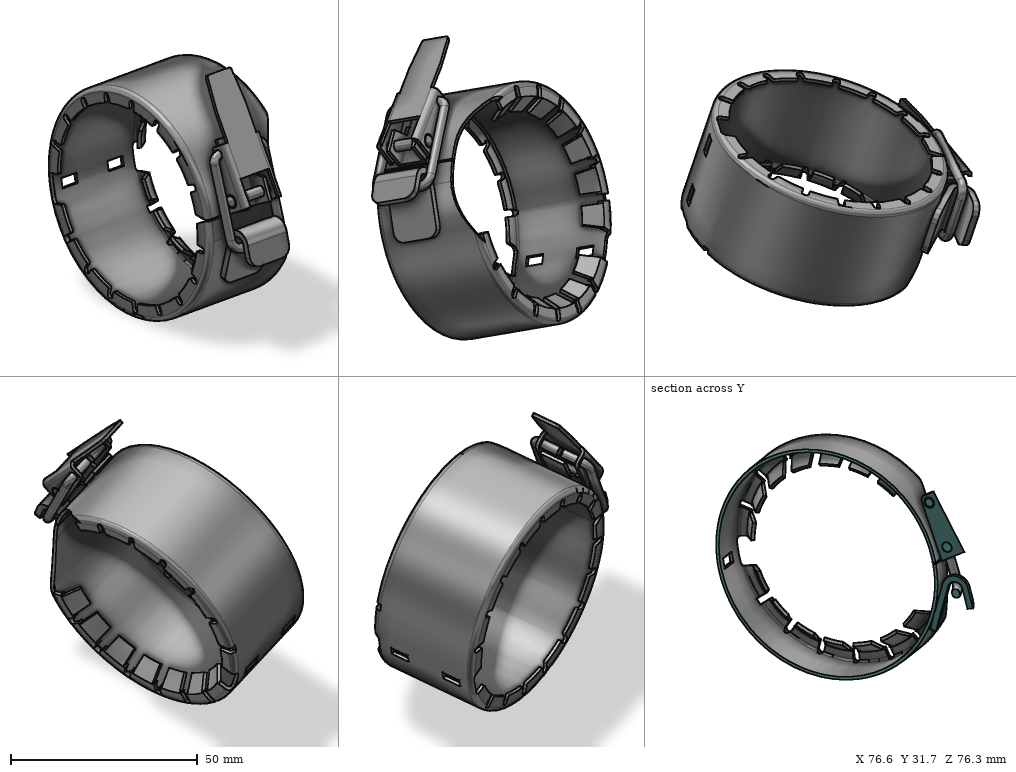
import cadquery as cq
import math

RING_R = 32.95
RING_WIDTH = 31.65
RING_SHEET = 1.0
RING_BEND = 1.5
JOINT_ANGLE = 10.8
FRONT_FLANGE_R = 28.3
LIP_ROOT_R = 28.7
LIP_TIP_R = 25.2
LIP_TILT = 53.0
HALF_WIDTH = RING_WIDTH / 2

NOTCHES_PER_SIDE = 8
FIRST_NOTCH = 17.0
UPPER_PITCH = 19.7
LOWER_PITCH = 19.5
NOTCH_WIDTH = 1.9
LIP_GAP = 3.15
TAB_CORNER = 0.45
FRONT_NOTCH_R = 31.0
REAR_NOTCH_R = 32.1
REAR_CUT_DEPTH = 1.85
JOINT_GAP = 0.45
JOINT_FLARE = 16.5
TOOL_MARGIN = 0.8
CUT_START_R = LIP_TIP_R - 3 * TOOL_MARGIN

HINGE_GAP = 8.8
HINGE_FRONT_R = 31.7
HINGE_CORNER = 1.5
SLOT_LENGTH = 5.4
SLOT_HEIGHT = 2.9
SLOT_PLACES = (7.6, -8.9)

RELIEF_DEPTH = 6.9
RELIEF_FLOOR_HALF = 12.0
RELIEF_TOP_HALF = 21.2
RELIEF_ROUND = 19.9
RELIEF_SECTOR = 36.7

LATCH_Y = -3.3
SHEET = 1.0

LEVER_TOP = (32.2, 27.1)
LEVER_LEAN = 30.0
LEVER_WIDTH = 13.6
LEVER_BEND = 1.8
CHANNEL_LENGTH = 18.4
CHEEK_TOP_DEPTH = 5.3
CHEEK_END_DEPTH = 8.4
CHEEK_ROUND = 1.7
BACK_LENGTH = 10.35
BLADE_LENGTH = 18.8
BLADE_STRAIGHT = 8.7
BLADE_TIP_WIDTH = 8.35
BLADE_CORNER = 0.8

BASE_ANGLE = 21.6
BASE_TOP = 13.95
BASE_BOTTOM = 6.2
TONGUE_WIDTH = 7.4
EAR_SPAN = 9.1
BASE_BEND = 1.2
SHOULDER = 1.4
BEND_TOP = 5.75
EAR_TOP = 3.0
EAR_HEIGHT = 6.8
EAR_CREST_TOP = 1.15
EAR_END = 5.7

RIVET_CENTER = (35.6, 11.4)
RIVET_D = 3.0
RIVET_HEAD_D = 3.75
RIVET_HEAD_HEIGHT = 0.85

WIRE_D = 2.5
WIRE_HOLE_D = 2.8
WIRE_TOP = (30.3, 23.4)
WIRE_LEAN = 17.7
WIRE_LENGTH = 26.3
WIRE_SPREAD = 17.4
WIRE_TOP_BEND = 2.15
WIRE_LOW_BEND = 3.15
WIRE_END_GAP = 1.3

HOOK_ANGLE = -15.0
HOOK_Y = -2.9
HOOK_WIDTH = 13.95
HOOK_OUTER_R = 4.0
HOOK_SHEET = 1.85
HOOK_RISE = 9.4
HOOK_LONG_LEG = 15.1
HOOK_SHORT_LEG = 6.6
HOOK_CORNER = 3.1


def polar(radius, degrees):
    return (radius * math.cos(math.radians(degrees)), radius * math.sin(math.radians(degrees)))


def tilted_plane(x, y, z, degrees):
    """Plane with normal -Y whose local x points at the given angle in XZ."""
    dx, dz = polar(1, degrees)
    return cq.Plane(origin=(x, y, z), xDir=(dx, 0, dz), normal=(0, -1, 0))


def radial_box(degrees, r_in, r_out, width, y_low, y_high):
    """Box lying along a radius of the ring."""
    box = cq.Workplane("XY").box(r_out - r_in, y_high - y_low, width)
    return box.translate(((r_in + r_out) / 2, (y_low + y_high) / 2, 0)).rotate((0, 0, 0), (0, 1, 0), -degrees)


def radial_notch(degrees, r_in, r_out, width, y_low, y_high):
    """Notch along a radius with a round outer end."""
    r_round = r_out - width / 2
    return (
        cq.Workplane(tilted_plane(0, y_high, 0, degrees))
        .moveTo(r_in, -width / 2)
        .lineTo(r_round, -width / 2)
        .threePointArc((r_out, 0), (r_round, width / 2))
        .lineTo(r_in, width / 2)
        .close()
        .extrude(y_high - y_low)
    )


def ring_blank():
    inner_bend = RING_BEND - RING_SHEET
    bend_r = RING_R - RING_BEND
    bend_y = HALF_WIDTH - RING_BEND
    inner_y = HALF_WIDTH - RING_SHEET
    wall_r = RING_R - RING_SHEET
    diagonal = math.sqrt(0.5)
    slope = math.radians(LIP_TILT)
    tip_y = HALF_WIDTH - (LIP_ROOT_R - LIP_TIP_R) * math.tan(slope)
    end_r = LIP_TIP_R + RING_SHEET * math.sin(slope)
    end_y = tip_y - RING_SHEET * math.cos(slope)
    root_inner_r = end_r + (inner_y - end_y) / math.tan(slope)
    profile = (
        cq.Workplane("XY")
        .moveTo(FRONT_FLANGE_R, -HALF_WIDTH)
        .lineTo(bend_r, -HALF_WIDTH)
        .threePointArc((bend_r + RING_BEND * diagonal, -bend_y - RING_BEND * diagonal), (RING_R, -bend_y))
        .lineTo(RING_R, bend_y)
        .threePointArc((bend_r + RING_BEND * diagonal, bend_y + RING_BEND * diagonal), (bend_r, HALF_WIDTH))
        .lineTo(LIP_ROOT_R, HALF_WIDTH)
        .lineTo(LIP_TIP_R, tip_y)
        .lineTo(end_r, end_y)
        .lineTo(root_inner_r, inner_y)
        .lineTo(bend_r, inner_y)
        .threePointArc((bend_r + inner_bend * diagonal, bend_y + inner_bend * diagonal), (wall_r, bend_y))
        .lineTo(wall_r, -bend_y)
        .threePointArc((bend_r + inner_bend * diagonal, -bend_y - inner_bend * diagonal), (bend_r, -inner_y))
        .lineTo(FRONT_FLANGE_R, -inner_y)
        .close()
    )
    return profile.revolve(360, (0, 0, 0), (0, 1, 0))


def cut_notches(ring):
    rear_y = HALF_WIDTH - REAR_CUT_DEPTH
    for side, pitch in ((1, UPPER_PITCH), (-1, LOWER_PITCH)):
        for index in range(NOTCHES_PER_SIDE):
            angle = JOINT_ANGLE + side * (FIRST_NOTCH + index * pitch)
            beside_hinge = index == NOTCHES_PER_SIDE - 1
            front_r = REAR_NOTCH_R if beside_hinge else FRONT_NOTCH_R
            rear_r = RING_R + NOTCH_WIDTH / 2 if beside_hinge else REAR_NOTCH_R
            ring = ring.cut(radial_notch(angle, CUT_START_R, front_r, NOTCH_WIDTH, -HALF_WIDTH, -rear_y))
            ring = ring.cut(radial_notch(angle, CUT_START_R, rear_r, NOTCH_WIDTH, rear_y, HALF_WIDTH))
            ring = ring.cut(radial_box(angle, CUT_START_R, LIP_ROOT_R, LIP_GAP, 0, HALF_WIDTH))
    return ring


def cut_hinge(ring):
    angle = JOINT_ANGLE + 180
    rear_y = HALF_WIDTH - REAR_CUT_DEPTH
    outside_r = RING_R + TOOL_MARGIN
    front = radial_box(0, CUT_START_R, HINGE_FRONT_R, HINGE_GAP, -HALF_WIDTH, -rear_y)
    front = front.edges("|Y and >X").fillet(HINGE_CORNER).rotate((0, 0, 0), (0, 1, 0), -angle)
    rear = radial_box(0, CUT_START_R, outside_r, HINGE_GAP, rear_y, HALF_WIDTH + TOOL_MARGIN)
    rear = rear.edges("|X and <Y").fillet(HINGE_CORNER).rotate((0, 0, 0), (0, 1, 0), -angle)
    lips = radial_box(angle, CUT_START_R, LIP_ROOT_R, HINGE_GAP, 0, HALF_WIDTH)
    ring = ring.cut(front).cut(rear).cut(lips)
    slot_start_r = RING_R - RING_SHEET - TOOL_MARGIN
    for place in SLOT_PLACES:
        slot_low = place - SLOT_LENGTH / 2
        slot_high = place + SLOT_LENGTH / 2
        ring = ring.cut(radial_box(angle, slot_start_r, outside_r, SLOT_HEIGHT, slot_low, slot_high))
    return ring


def cut_joint(ring):
    outside_r = RING_R + TOOL_MARGIN
    outside_y = HALF_WIDTH + TOOL_MARGIN
    apex_r = RING_R - RING_SHEET
    half_mouth = JOINT_GAP / 2 + (apex_r - CUT_START_R) * math.tan(math.radians(JOINT_FLARE))
    flare = (
        cq.Workplane(tilted_plane(0, HALF_WIDTH, 0, JOINT_ANGLE))
        .moveTo(CUT_START_R, -half_mouth)
        .lineTo(apex_r, -JOINT_GAP / 2)
        .lineTo(outside_r, -JOINT_GAP / 2)
        .lineTo(outside_r, JOINT_GAP / 2)
        .lineTo(apex_r, JOINT_GAP / 2)
        .lineTo(CUT_START_R, half_mouth)
        .close()
        .extrude(RING_WIDTH)
    )
    relief = (
        cq.Workplane("YZ")
        .moveTo(outside_y, -RELIEF_TOP_HALF)
        .lineTo(HALF_WIDTH, -RELIEF_TOP_HALF)
        .lineTo(HALF_WIDTH - RELIEF_DEPTH, -RELIEF_FLOOR_HALF)
        .lineTo(HALF_WIDTH - RELIEF_DEPTH, RELIEF_FLOOR_HALF)
        .lineTo(HALF_WIDTH, RELIEF_TOP_HALF)
        .lineTo(outside_y, RELIEF_TOP_HALF)
        .close()
        .extrude(outside_r)
        .edges("|X and <Y")
        .fillet(RELIEF_ROUND)
        .rotate((0, 0, 0), (0, 1, 0), -JOINT_ANGLE)
    )
    flange_r = RING_R - RING_BEND
    wall_relief = relief.cut(cq.Workplane("XZ").circle(flange_r).extrude(RING_WIDTH, both=True))
    sector = (
        cq.Workplane("XY")
        .moveTo(CUT_START_R, 0)
        .rect(flange_r - CUT_START_R, outside_y, centered=False)
        .revolve(2 * RELIEF_SECTOR, (0, 0, 0), (0, 1, 0))
        .rotate((0, 0, 0), (0, 1, 0), -(JOINT_ANGLE + RELIEF_SECTOR))
    )
    return ring.cut(flare).cut(wall_relief).cut(sector)


def make_ring():
    ring = cut_joint(cut_hinge(cut_notches(ring_blank())))

    def is_front_tab_corner(edge):
        center = edge.Center()
        near_inner_edge = math.hypot(center.x, center.z) < FRONT_FLANGE_R + TAB_CORNER
        return near_inner_edge and center.y < RING_SHEET - HALF_WIDTH

    return ring.edges("|Y").filter(is_front_tab_corner).edges().fillet(TAB_CORNER)


def cross_cylinder(center, diameter, length):
    """Cylinder along Y, centred on the latch."""
    plane = tilted_plane(center[0], LATCH_Y, center[1], 0)
    return cq.Workplane(plane).circle(diameter / 2).extrude(length / 2, both=True)


def make_rivet():
    head_y = LEVER_WIDTH / 2
    top_y = head_y + RIVET_HEAD_HEIGHT
    head_r = RIVET_HEAD_D / 2
    sphere_r = (head_r**2 + RIVET_HEAD_HEIGHT**2) / (2 * RIVET_HEAD_HEIGHT)
    middle = polar(sphere_r, 90 - math.degrees(math.asin(head_r / sphere_r)) / 2)
    middle_y = top_y - sphere_r + middle[1]
    profile = (
        cq.Workplane("XY")
        .moveTo(0, -top_y)
        .threePointArc((middle[0], -middle_y), (head_r, -head_y))
        .lineTo(RIVET_D / 2, -head_y)
        .lineTo(RIVET_D / 2, head_y)
        .lineTo(head_r, head_y)
        .threePointArc((middle[0], middle_y), (0, top_y))
        .close()
    )
    rivet = profile.revolve(360, (0, 0, 0), (0, 1, 0))
    return rivet.translate((RIVET_CENTER[0], LATCH_Y, RIVET_CENTER[1]))


def make_lever():
    """Built with x down the lever, y from its outer face inwards and z across it."""
    lean = math.radians(LEVER_LEAN)
    frame = cq.Plane(
        origin=(LEVER_TOP[0], LATCH_Y, LEVER_TOP[1]),
        xDir=(math.sin(lean), 0, -math.cos(lean)),
        normal=(0, 1, 0),
    )
    back_half = LEVER_WIDTH / 2 - LEVER_BEND
    channel = (
        cq.Workplane("XY")
        .polyline([(0, 0), (CHANNEL_LENGTH, 0), (CHANNEL_LENGTH, CHEEK_END_DEPTH), (0, CHEEK_TOP_DEPTH)])
        .close()
        .extrude(LEVER_WIDTH / 2, both=True)
        .edges("|X and <Y")
        .fillet(LEVER_BEND)
    )
    inside = (
        cq.Workplane("XY")
        .box(CHANNEL_LENGTH, CHEEK_END_DEPTH, LEVER_WIDTH - 2 * SHEET, centered=(False, False, True))
        .translate((0, SHEET, 0))
        .edges("|X and <Y")
        .fillet(LEVER_BEND - SHEET)
    )
    open_back = (
        cq.Workplane("XY")
        .box(CHANNEL_LENGTH - BACK_LENGTH, SHEET, 2 * back_half, centered=(False, False, True))
        .translate((BACK_LENGTH, 0, 0))
    )
    channel = channel.cut(inside).cut(open_back)
    cheek_corners = cq.selectors.BoxSelector(
        (-0.8, CHEEK_TOP_DEPTH - 0.8, -LEVER_WIDTH), (0.8, CHEEK_TOP_DEPTH + 0.1, LEVER_WIDTH)
    )
    channel = channel.edges(cheek_corners).edges("|Z").fillet(CHEEK_ROUND)
    blade = (
        cq.Workplane("XZ")
        .polyline([
            (0, -back_half), (-BLADE_STRAIGHT, -back_half), (-BLADE_LENGTH, -BLADE_TIP_WIDTH / 2),
            (-BLADE_LENGTH, BLADE_TIP_WIDTH / 2), (-BLADE_STRAIGHT, back_half), (0, back_half),
        ])
        .close()
        .extrude(-SHEET)
        .edges("|Y and <X")
        .fillet(BLADE_CORNER)
    )
    lever = cq.Workplane(channel.union(blade).val().moved(cq.Location(frame)))
    lever = lever.cut(cross_cylinder(WIRE_TOP, WIRE_HOLE_D, LEVER_WIDTH))
    return lever.cut(cross_cylinder(RIVET_CENTER, RIVET_D, LEVER_WIDTH))


def make_base():
    """Built with x up the plate, y outwards from the ring and z across it."""
    tangent = math.radians(BASE_ANGLE)
    origin_x, origin_z = polar(RING_R, BASE_ANGLE)
    frame = cq.Plane(
        origin=(origin_x, LATCH_Y, origin_z),
        xDir=(-math.sin(tangent), 0, math.cos(tangent)),
        normal=(0, 1, 0),
    )
    channel = (
        cq.Workplane("XY")
        .polyline([
            (-BASE_BOTTOM, 0), (BEND_TOP, 0), (BEND_TOP, SHOULDER), (EAR_TOP, SHOULDER),
            (EAR_CREST_TOP, EAR_HEIGHT), (-EAR_END, EAR_HEIGHT), (-BASE_BOTTOM, SHOULDER),
        ])
        .close()
        .extrude(EAR_SPAN / 2, both=True)
        .edges("|X and <Y")
        .fillet(BASE_BEND)
    )
    inside = (
        cq.Workplane("XY")
        .box(BEND_TOP + BASE_BOTTOM, EAR_HEIGHT, EAR_SPAN - 2 * SHEET, centered=(False, False, True))
        .translate((-BASE_BOTTOM, SHEET, 0))
        .edges("|X and <Y")
        .fillet(BASE_BEND - SHEET)
    )
    tongue = (
        cq.Workplane("XY")
        .box(BASE_TOP - BEND_TOP, SHEET, TONGUE_WIDTH, centered=(False, False, True))
        .translate((BEND_TOP, 0, 0))
    )
    base = cq.Workplane(channel.cut(inside).union(tongue).val().moved(cq.Location(frame)))
    return base.cut(cross_cylinder(RIVET_CENTER, RIVET_D, LEVER_WIDTH))


def make_wire():
    """Bent wire whose two ends face each other in the upper bar."""
    lean = math.radians(WIRE_LEAN)
    along = (math.sin(lean), 0, -math.cos(lean))
    plane = cq.Plane(
        origin=(WIRE_TOP[0], LATCH_Y, WIRE_TOP[1]),
        xDir=(0, 1, 0),
        normal=(along[2], 0, -along[0]),
    )
    half = WIRE_SPREAD / 2
    path = (
        cq.Workplane(plane)
        .moveTo(WIRE_END_GAP / 2, 0)
        .lineTo(half - WIRE_TOP_BEND, 0)
        .tangentArcPoint((half, WIRE_TOP_BEND), relative=False)
        .lineTo(half, WIRE_LENGTH - WIRE_LOW_BEND)
        .tangentArcPoint((half - WIRE_LOW_BEND, WIRE_LENGTH), relative=False)
        .lineTo(WIRE_LOW_BEND - half, WIRE_LENGTH)
        .tangentArcPoint((-half, WIRE_LENGTH - WIRE_LOW_BEND), relative=False)
        .lineTo(-half, WIRE_TOP_BEND)
        .tangentArcPoint((WIRE_TOP_BEND - half, 0), relative=False)
        .lineTo(-WIRE_END_GAP / 2, 0)
    )
    start = tilted_plane(WIRE_TOP[0], LATCH_Y + WIRE_END_GAP / 2, WIRE_TOP[1], 0)
    return cq.Workplane(start).circle(WIRE_D / 2).sweep(path)


def make_hook():
    normal_x, normal_z = polar(1, HOOK_ANGLE)
    offset = RING_R + HOOK_OUTER_R
    center_x = offset * normal_x - HOOK_RISE * normal_z
    center_z = offset * normal_z + HOOK_RISE * normal_x
    inner_r = HOOK_OUTER_R - HOOK_SHEET
    lean = math.radians(abs(HOOK_ANGLE))

    def leg_point(radius, length, side):
        """Point on a leg: side -1 is the long leg by the ring, 1 the short free leg."""
        x = side * (radius * math.cos(lean) + length * math.sin(lean))
        return (x, radius * math.sin(lean) - length * math.cos(lean))

    profile = (
        cq.Workplane(tilted_plane(center_x, HOOK_Y, center_z, 0))
        .moveTo(*leg_point(HOOK_OUTER_R, HOOK_LONG_LEG, -1))
        .lineTo(*leg_point(HOOK_OUTER_R, 0, -1))
        .threePointArc((0, HOOK_OUTER_R), leg_point(HOOK_OUTER_R, 0, 1))
        .lineTo(*leg_point(HOOK_OUTER_R, HOOK_SHORT_LEG, 1))
        .lineTo(*leg_point(inner_r, HOOK_SHORT_LEG, 1))
        .lineTo(*leg_point(inner_r, 0, 1))
        .threePointArc((0, inner_r), leg_point(inner_r, 0, -1))
        .lineTo(*leg_point(inner_r, HOOK_LONG_LEG, -1))
        .close()
    )
    hook = profile.extrude(HOOK_WIDTH / 2, both=True)
    for side in (-1, 1):
        through_leg = cq.Vector(side * math.cos(lean), 0, math.sin(lean))
        hook = hook.edges(cq.selectors.ParallelDirSelector(through_leg)).fillet(HOOK_CORNER)
    return hook


ring = make_ring()
rivet = make_rivet()
lever = make_lever()
base = make_base()
wire = make_wire()
hook = make_hook()

result = cq.Compound.makeCompound(
    [ring.val(), rivet.val(), lever.val(), base.val(), wire.val(), hook.val()]
)